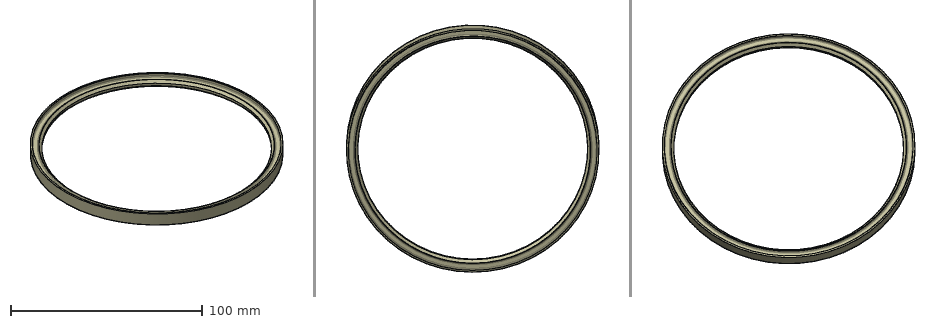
import cadquery as cq

outer_radius = 66.0
bore_radius = 60.0
ring_height = 7.0
rim_width = 1.0
groove_depth = 2.0
groove_corner_radius = 0.4
lip_foot_radius = 62.25
lip_crest_radius = 61.5
crest_round_radius = 0.1
bore_land_height = 1.5

mid_height = ring_height / 2
wall_radius = outer_radius - rim_width
floor_height = mid_height - groove_depth
crest_height = floor_height + lip_foot_radius - lip_crest_radius
land_edge_height = bore_land_height / 2

tolerance = 1e-4


def make_sharp_ring():
    """Revolve the sharp-cornered cross-section, the same above and below the mid-plane."""
    upper = [
        (-outer_radius, mid_height),
        (-wall_radius, mid_height),
        (-wall_radius, floor_height),
        (-lip_foot_radius, floor_height),
        (-lip_crest_radius, crest_height),
        (-bore_radius, land_edge_height),
    ]
    lower = [(x, -z) for x, z in reversed(upper)]
    profile = cq.Workplane("XZ").polyline(upper + lower).close()
    return profile.revolve(360, (0, 0, 0), (0, 1, 0))


def round_edges(ring, edge_radius, edge_height, fillet_radius):
    """Fillet the pair of circular edges at one radius, above and below the mid-plane."""

    def on_circle(edge):
        if edge.geomType() != "CIRCLE":
            return False
        radius_matches = abs(edge.radius() - edge_radius) < tolerance
        height_matches = abs(abs(edge.startPoint().z) - edge_height) < tolerance
        return radius_matches and height_matches

    return ring.newObject(ring.edges().filter(on_circle).vals()).fillet(fillet_radius)


def make_ring():
    """Sharp ring with its groove corners and lip crests rounded, resting on Z = 0."""
    ring = make_sharp_ring()
    ring = round_edges(ring, wall_radius, floor_height, groove_corner_radius)
    ring = round_edges(ring, lip_foot_radius, floor_height, groove_corner_radius)
    ring = round_edges(ring, lip_crest_radius, crest_height, crest_round_radius)
    return ring.translate((0, 0, mid_height))


result = make_ring()